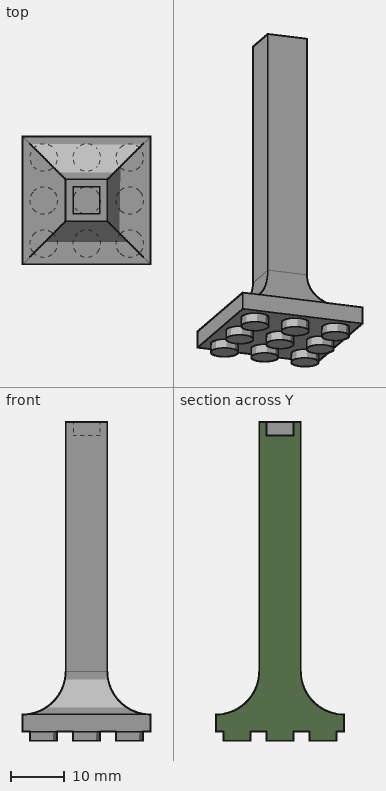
import cadquery as cq

stud_pitch = 8.0
studs_per_side = 3
side_clearance = 0.2
total_height = 59.3

base_width = studs_per_side * stud_pitch - side_clearance
base_thickness = 3.2
stud_diameter = 5.1
stud_height = 1.7

column_width = stud_pitch - side_clearance
flare_radius = (base_width - column_width) / 2
socket_width = 5.0
socket_depth = 2.5

base_bottom = stud_height
base_top = base_bottom + base_thickness
flare_top = base_top + flare_radius


def square_block(width, bottom, top):
    """Square block centred on the Z axis."""
    return cq.Workplane("XY").workplane(offset=bottom).rect(width, width).extrude(top - bottom)


def flare_profile(plane):
    """Concave-sided prism: quarter-circle sides narrow the base width to the column width."""
    half_base = base_width / 2
    half_column = column_width / 2
    return (
        cq.Workplane(plane)
        .moveTo(-half_base, base_top)
        .lineTo(half_base, base_top)
        .radiusArc((half_column, flare_top), flare_radius)
        .lineTo(-half_column, flare_top)
        .radiusArc((-half_base, base_top), flare_radius)
        .close()
        .extrude(half_base, both=True)
    )


def flare():
    """Four concave faces meeting in mitred corners, from two crossed prisms."""
    return flare_profile("XZ").intersect(flare_profile("YZ"))


def studs():
    """Square grid of round studs below the base plate."""
    return (
        cq.Workplane("XY")
        .rarray(stud_pitch, stud_pitch, studs_per_side, studs_per_side)
        .circle(stud_diameter / 2)
        .extrude(stud_height)
    )


base = square_block(base_width, base_bottom, base_top)
column = square_block(column_width, flare_top, total_height)
socket = square_block(socket_width, total_height - socket_depth, total_height)

result = base.union(studs()).union(flare()).union(column).cut(socket)